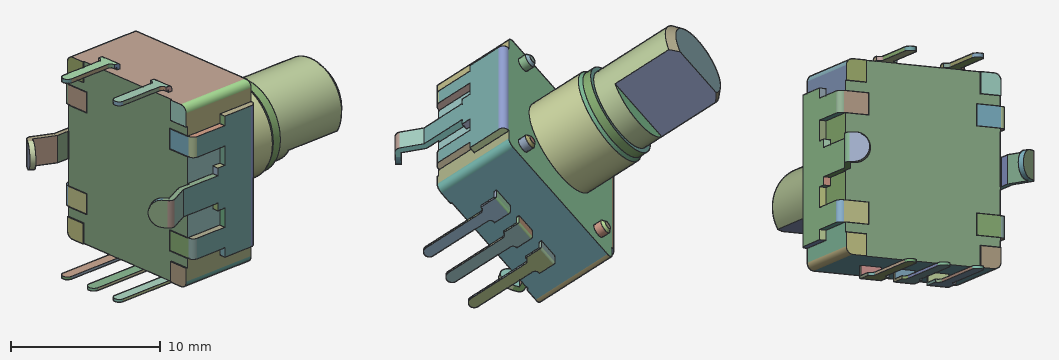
import cadquery as cq
import math


total_length = 21.0
total_width = 14.0
total_height = 14.75
shaft_reach = 11.5
rear_reach = total_length - shaft_reach

body_width = 11.5
body_height = 13.4
body_depth = 5.9
body_corner_radius = 0.5
foot_size = 1.51
foot_height = 0.1

cover_width = 12.5
cover_height = 10.37
cover_front_radius = 0.46
sheet_thickness = 0.4
panel_depth = 2.9
panel_step_depth = 3.55
panel_step_half_height = 1.58
arm_inner_z = 2.98
arm_height = 1.51
arm_depth = 5.84
fold_inner_x = 4.01

clip_width = 2.02
clip_reach = total_width / 2
clip_bend_depth = 6.72
clip_elbow_depth = 8.4
clip_tail_angle = 34.4

bushing_diameter = 7.01
bushing_cone_start = 4.12
collar_diameter = 6.68
collar_start = 4.37
bushing_length = 5.02
shaft_diameter = 6.0
shaft_chamfer = 0.5
flat_length = 5.0
flat_offset = 1.5
peg_diameter = 1.0
peg_length = 0.8
peg_chamfer = 0.2
peg_x = 4.2
peg_z = 5.1

terminal_pitch = 2.5
shoulder_width = 1.53
neck_width = 0.8
shoulder_fillet = 0.3
upper_thickness = 0.3
upper_root_depth = 4.95
upper_shoulder_end = 5.48
upper_outer_z = 7.15
upper_bend_radius = 0.27
lower_thickness = 0.2
lower_root_depth = 2.9
lower_shoulder_end = 4.22
lower_outer_z = total_height - upper_outer_z
lower_bend_radius = 0.15
middle_shoulder_width = 1.5
middle_neck_width = 0.86

body_half_width = body_width / 2
cover_half_width = cover_width / 2


def box(x_range, depth_range, z_range):
    """Box between two X values, two depths behind the mounting face and two Z values."""
    width = x_range[1] - x_range[0]
    depth = depth_range[1] - depth_range[0]
    height = z_range[1] - z_range[0]
    corner = (x_range[0], -depth_range[1], z_range[0])
    return cq.Workplane("XY").box(width, depth, height, centered=False).translate(corner)


def both_sides(side):
    """Add the copy mirrored from +X to -X."""
    return side.union(side.mirror("YZ"))


def four_corners(corner):
    """Repeat a +X +Z corner feature in all four quadrants."""
    pair = both_sides(corner)
    return pair.union(pair.mirror("XY"))


def make_body():
    block = (
        cq.Workplane("XY")
        .box(body_width, body_depth + foot_height, body_height)
        .translate((0, -(body_depth + foot_height) / 2, 0))
        .edges("|Y")
        .fillet(body_corner_radius)
    )
    foot_inner_x = body_half_width - foot_size
    foot_inner_z = body_height / 2 - foot_size
    between_feet = (body_depth, body_depth + foot_height)
    upright_clearance = box(
        (-foot_inner_x, foot_inner_x), between_feet, (-body_height / 2, body_height / 2)
    )
    cross_clearance = box(
        (-body_half_width, body_half_width), between_feet, (-foot_inner_z, foot_inner_z)
    )
    return block.cut(upright_clearance).cut(cross_clearance)


def arm_z_range():
    return (arm_inner_z, arm_inner_z + arm_height)


def make_fold_recesses():
    """Shallow pockets in the rear face that hold the folded arm ends."""
    pocket = box((fold_inner_x, body_half_width), (arm_depth, body_depth), arm_z_range())
    return four_corners(pocket)


def make_cover():
    panel = (
        cq.Workplane("XY")
        .box(cover_width, panel_depth, cover_height)
        .translate((0, -panel_depth / 2, 0))
        .edges(">Y and |Z")
        .fillet(cover_front_radius)
    )
    side_x = (fold_inner_x, cover_half_width)
    side_start = panel_depth / 2
    step = box(
        side_x,
        (side_start, panel_step_depth),
        (-panel_step_half_height, panel_step_half_height),
    )
    clip_root = box(side_x, (side_start, arm_depth), (-clip_width / 2, clip_width / 2))
    arm = box(side_x, (side_start, arm_depth), arm_z_range())
    arm = arm.edges(">X and <Y").fillet(sheet_thickness)
    return panel.union(both_sides(step.union(clip_root))).union(four_corners(arm))


def make_clip():
    """Bent strip on the +X side: straight, flared outward, then turned back with a round end."""
    outer_x = cover_half_width
    inner_x = outer_x - sheet_thickness
    elbow = cq.Vector(clip_reach - sheet_thickness, -clip_elbow_depth, 0)
    tail = math.radians(clip_tail_angle)
    tail_direction = cq.Vector(-math.cos(tail), -math.sin(tail), 0)
    tail_normal = cq.Vector(math.sin(tail), -math.cos(tail), 0)
    flare = math.atan2(elbow.x - inner_x, clip_elbow_depth - clip_bend_depth)
    flare_normal = cq.Vector(math.cos(flare), math.sin(flare), 0)
    inner_bend_depth = clip_bend_depth + sheet_thickness * math.tan(flare / 2)

    def around_elbow(direction):
        return (elbow + direction * sheet_thickness).toTuple()[:2]

    flared_strip = (
        cq.Workplane("XY")
        .moveTo(inner_x, -panel_depth)
        .lineTo(inner_x, -inner_bend_depth)
        .lineTo(elbow.x, elbow.y)
        .lineTo(*around_elbow(tail_normal))
        .threePointArc(around_elbow(cq.Vector(1, 0, 0)), around_elbow(flare_normal))
        .lineTo(outer_x, -clip_bend_depth)
        .lineTo(outer_x, -panel_depth)
        .close()
        .extrude(clip_width / 2, both=True)
    )

    tail_drop = rear_reach - clip_elbow_depth - sheet_thickness * math.cos(tail)
    tail_length = tail_drop / math.sin(tail)
    half_width = clip_width / 2
    tail_plane = cq.Plane(origin=elbow, xDir=tail_direction, normal=tail_normal)
    round_tail = (
        cq.Workplane(tail_plane)
        .moveTo(0, -half_width)
        .lineTo(tail_length - half_width, -half_width)
        .threePointArc((tail_length, 0), (tail_length - half_width, half_width))
        .lineTo(0, half_width)
        .close()
        .extrude(sheet_thickness)
    )
    return flared_strip.union(round_tail)


def make_bushing():
    """Bushing with a short cone down to a narrower collar at its front end."""
    return (
        cq.Workplane("XY")
        .lineTo(bushing_diameter / 2, 0)
        .lineTo(bushing_diameter / 2, bushing_cone_start)
        .lineTo(collar_diameter / 2, collar_start)
        .lineTo(collar_diameter / 2, bushing_length)
        .lineTo(0, bushing_length)
        .close()
        .revolve(360, (0, 0, 0), (0, 1, 0))
    )


def cylinder_forward(diameter, length):
    """Cylinder running from the mounting face toward +Y, its front rim selected."""
    rod = cq.Workplane("XZ").circle(diameter / 2).extrude(-length)
    return rod.faces(">Y").edges()


def make_shaft():
    shaft = cylinder_forward(shaft_diameter, shaft_reach).chamfer(shaft_chamfer)
    flat_cut = box(
        (-shaft_diameter, shaft_diameter),
        (-shaft_reach, flat_length - shaft_reach),
        (-shaft_diameter, -flat_offset),
    )
    return shaft.cut(flat_cut)


def make_pegs():
    peg = cylinder_forward(peg_diameter, peg_length).chamfer(peg_chamfer)
    return four_corners(peg.translate((peg_x, 0, peg_z)))


def make_terminal(shoulder, neck, thickness, root_depth, shoulder_end, outer_z, outer_bend):
    """Terminal above the body: a foot out of the body, bent to a round-ended pin along -Y."""
    fillet_end = shoulder_end + shoulder_fillet
    pin_end = rear_reach - neck / 2
    fillet_side = neck / 2 + shoulder_fillet
    fillet_mid_side = fillet_side - shoulder_fillet * math.sin(math.pi / 4)
    fillet_mid_depth = fillet_end - shoulder_fillet * math.sin(math.pi / 4)
    blade = (
        cq.Workplane("XY")
        .moveTo(shoulder / 2, -root_depth)
        .lineTo(shoulder / 2, -shoulder_end)
        .lineTo(fillet_side, -shoulder_end)
        .threePointArc((fillet_mid_side, -fillet_mid_depth), (neck / 2, -fillet_end))
        .lineTo(neck / 2, -pin_end)
        .threePointArc((0, -rear_reach), (-neck / 2, -pin_end))
        .lineTo(-neck / 2, -fillet_end)
        .threePointArc((-fillet_mid_side, -fillet_mid_depth), (-fillet_side, -shoulder_end))
        .lineTo(-shoulder / 2, -shoulder_end)
        .lineTo(-shoulder / 2, -root_depth)
        .close()
        .extrude(-thickness)
        .translate((0, 0, outer_z))
    )
    foot = box(
        (-shoulder / 2, shoulder / 2),
        (root_depth, root_depth + thickness),
        (body_height / 2 - thickness, outer_z),
    )
    return foot.union(blade).edges("|X and >Y and >Z").fillet(outer_bend)


def make_terminals():
    upper = make_terminal(
        shoulder_width, neck_width, upper_thickness,
        upper_root_depth, upper_shoulder_end, upper_outer_z, upper_bend_radius,
    )
    lower = make_terminal(
        shoulder_width, neck_width, lower_thickness,
        lower_root_depth, lower_shoulder_end, lower_outer_z, lower_bend_radius,
    ).mirror("XY")
    lower_middle = make_terminal(
        middle_shoulder_width, middle_neck_width, lower_thickness,
        lower_root_depth, lower_shoulder_end, lower_outer_z, lower_bend_radius,
    ).mirror("XY")
    outer_pins = both_sides(upper.union(lower).translate((terminal_pitch, 0, 0)))
    return outer_pins.union(lower_middle)


result = (
    make_body()
    .cut(make_fold_recesses())
    .union(make_cover())
    .union(both_sides(make_clip()))
    .union(make_bushing())
    .union(make_shaft())
    .union(make_pegs())
    .union(make_terminals())
)